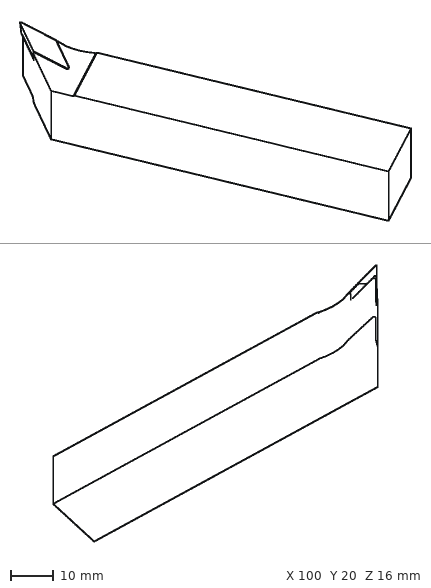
import cadquery as cq
import math

length = 100.0
shank_width = 16.0
height = 16.0

head_drop = 0.3
head_end = 20.5
slope_run = 0.3

nose_y = 20.0
inscribed_circle = 6.35
nose_angle = 35.0
edge_angle = 52.5
insert_thickness = 3.0
relief_angle = 3.0
nose_radius = 0.2
inner_nose_radius = 0.4
seat_inset = 0.3

seat_nose_radius = 0.4
flank_start_x = 14.9
step_outer_y = 10.1
step_middle_y = 11.6
step_inner_y = 13.4
back_start = (10.9, 16.8)
neck_start = (13.0, 16.0)
neck_middle = (16.9, 15.6)
neck_end = (20.0, shank_width)

flank_slope = math.tan(math.radians(edge_angle))
flank_dir = cq.Vector(math.cos(math.radians(edge_angle)), -math.sin(math.radians(edge_angle)))
back_angle = math.radians(edge_angle - nose_angle)
back_dir = cq.Vector(math.cos(back_angle), -math.sin(back_angle))
edge_length = inscribed_circle / math.sin(math.radians(nose_angle))

centre_distance = nose_radius / math.sin(math.radians(nose_angle / 2))
bisector = (flank_dir + back_dir).normalized()
nose_centre = cq.Vector(nose_radius, nose_y - nose_radius)
sharp_nose = nose_centre - bisector * centre_distance


def round_upright_edge(body, corner, radius):
    """Fillet the upright or nearly upright edge at a plan corner."""
    reach = 1.0
    near_corner = cq.selectors.BoxSelector(
        (corner.x - reach, corner.y - reach, 0),
        (corner.x + reach, corner.y + reach, height),
    )
    return body.edges("not #Z").edges(near_corner).fillet(radius)


def make_insert():
    """Rhombic plate with rounded noses, narrowing downwards by the relief angle."""
    flank_corner = sharp_nose + flank_dir * edge_length
    back_corner = sharp_nose + back_dir * edge_length
    inner_nose = flank_corner + back_dir * edge_length
    corners = [(p.x, p.y) for p in (sharp_nose, flank_corner, inner_nose, back_corner)]
    plate = (
        cq.Workplane("XY").workplane(offset=height)
        .polyline(corners).close()
        .extrude(-insert_thickness, taper=relief_angle)
    )
    plate = round_upright_edge(plate, sharp_nose, nose_radius)
    return round_upright_edge(plate, inner_nose, inner_nose_radius)


def make_holder(insert):
    """Square shank with an angled head and a pocket that fits the insert."""
    seat_nose = sharp_nose + bisector * (seat_inset / math.sin(math.radians(nose_angle / 2)))
    step_outer_x = flank_start_x - step_outer_y / flank_slope
    step_inner_x = seat_nose.x + (seat_nose.y - step_inner_y) / flank_slope
    step_fraction = (step_middle_y - step_outer_y) / (step_inner_y - step_outer_y)
    step_middle_x = step_outer_x + step_fraction * (step_inner_x - step_outer_x)
    body = (
        cq.Workplane("XY")
        .moveTo(length, 0)
        .lineTo(flank_start_x, 0)
        .lineTo(step_outer_x, step_outer_y)
        .tangentArcPoint((step_middle_x, step_middle_y), relative=False)
        .tangentArcPoint((step_inner_x, step_inner_y), relative=False)
        .lineTo(seat_nose.x, seat_nose.y)
        .lineTo(*back_start)
        .lineTo(*neck_start)
        .threePointArc(neck_middle, neck_end)
        .lineTo(length, shank_width)
        .close()
        .extrude(height)
    )
    body = round_upright_edge(body, seat_nose, seat_nose_radius)
    head_relief = (
        cq.Workplane("XZ")
        .moveTo(0, height)
        .lineTo(head_end + slope_run, height)
        .lineTo(head_end, height - head_drop)
        .lineTo(0, height - head_drop)
        .close()
        .extrude(-nose_y)
    )
    return body.cut(head_relief).cut(insert)


insert = make_insert()
holder = make_holder(insert)
result = cq.Compound.makeCompound([holder.solids().val(), insert.solids().val()])